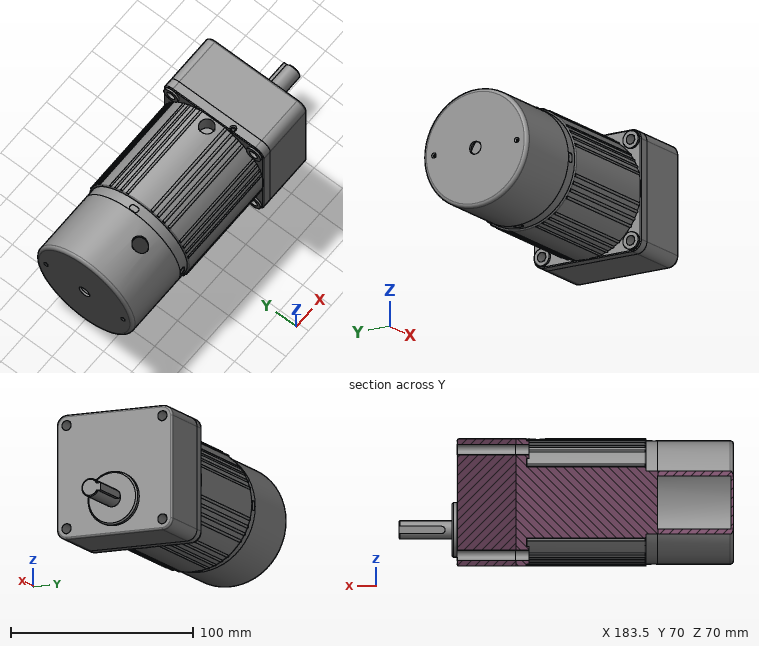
import cadquery as cq

cover_end = 41.7
barrel_start = 47.9
flange_start = 113.4
gearhead_start = 119.5
gearhead_end = 151.5
pilot_end = 154.5
shaft_end = 183.5

cover_radius = 34.0
cover_wall = 1.5
cover_rim_fillet = 2.0
center_hole_diameter = 7.3
screw_hole_diameter = 1.5
screw_hole_countersink = 3.0
screw_hole_offset = 27.0
cable_hole_diameter = 9.2
cable_hole_x = 30.0
cable_hole_y = -15.2

frame_size = 70.0
corner_radius = 6.0
mount_hole_diameter = 5.5
mount_hole_spacing = 58.0

barrel_radius = frame_size / 2
barrel_edge_fillet = 0.5
rib_radius = 1.0
rib_height = 0.45
rib_pitch_angle = 7.2
first_rib_step = 2
last_rib_step = 5
recess_x = 43.7
recess_length = 3.5
recess_width = 5.3
recess_corner_radius = 1.3
recess_depth = 0.2
lead_hole_diameter = 9.2
lead_hole_x = 107.5
lead_hole_depth = 11.0
mount_pad_diameter = 10.0
mount_pad_height = 1.3
flange_edge_chamfer = 0.5
ground_hole_x = 115.6
ground_hole_y = -12.1
ground_hole_diameter = 2.4
ground_hole_countersink = 3.9
ground_hole_depth = 2.8

gearhead_edge_fillet = 1.1
shaft_z = -15.0
pilot_diameter = 30.1
pilot_edge_chamfer = 1.0
shaft_diameter = 10.1
shaft_end_chamfer = 0.5
key_width = 4.0
key_length = 25.3
key_protrusion = 1.5

QUARTER_TURN = 90


def cylinder_x(start, end, radius, z=0):
    """Cylinder parallel to X between two stations."""
    return cq.Workplane("YZ", origin=(start, 0, z)).circle(radius).extrude(end - start)


def frame_block(start, end):
    """Square block with rounded corners along X."""
    block = cq.Workplane("YZ", origin=(start, 0, 0)).rect(frame_size, frame_size).extrude(end - start)
    return block.edges("|X").fillet(corner_radius)


def at_mount_corners(start):
    """Workplane at a station with the four mounting hole centers selected."""
    plane = cq.Workplane("YZ", origin=(start, 0, 0))
    return plane.rect(mount_hole_spacing, mount_hole_spacing, forConstruction=True).vertices()


def mount_holes(start, end):
    """Cutters for the four mounting holes between two stations."""
    return at_mount_corners(start).circle(mount_hole_diameter / 2).extrude(end - start)


def countersunk_hole(diameter, countersink_diameter, depth):
    """Cutter for a hole going down from the origin, with a 90 degree countersink at its mouth."""
    countersink_depth = (countersink_diameter - diameter) / 2
    return (
        cq.Workplane("XZ")
        .lineTo(countersink_diameter / 2, 0)
        .lineTo(diameter / 2, -countersink_depth)
        .lineTo(diameter / 2, -depth)
        .lineTo(0, -depth)
        .close()
        .revolve(360, (0, 0, 0), (0, 1, 0))
    )


def make_cover():
    """Thin cup that is open toward the motor."""
    cup = cylinder_x(0, cover_end, cover_radius).faces("<X").edges().fillet(cover_rim_fillet)
    cup = cup.cut(cylinder_x(cover_wall, cover_end, cover_radius - cover_wall))
    cup = cup.cut(cylinder_x(0, cover_wall, center_hole_diameter / 2))

    cable_hole = (
        cq.Workplane("XY", origin=(cable_hole_x, cable_hole_y, 0))
        .circle(cable_hole_diameter / 2)
        .extrude(cover_radius)
    )
    cup = cup.cut(cable_hole)

    screw_hole = countersunk_hole(screw_hole_diameter, screw_hole_countersink, cover_wall)
    screw_hole = screw_hole.rotate((0, 0, 0), (0, 1, 0), -QUARTER_TURN)
    for y in (-screw_hole_offset, screw_hole_offset):
        cup = cup.cut(screw_hole.translate((0, y, 0)))
    return cup


def add_ribs(barrel):
    """Groups of lengthwise round-topped ribs on both sides of the +Y, -Y, +Z and -Z directions."""
    rib_start = barrel_start + barrel_edge_fillet
    rib_center_z = barrel_radius + rib_height - rib_radius
    rib = cylinder_x(rib_start, flange_start, rib_radius, rib_center_z)
    for quadrant in range(4):
        for step in range(first_rib_step, last_rib_step + 1):
            for side in (-1, 1):
                angle = quadrant * QUARTER_TURN + side * step * rib_pitch_angle
                barrel = barrel.union(rib.rotate((0, 0, 0), (1, 0, 0), angle))
    return barrel


def cut_shoulder_recesses(shoulder):
    """Four shallow rounded recesses that follow the shoulder surface."""
    skin = cylinder_x(cover_end, barrel_start, cover_radius).cut(
        cylinder_x(cover_end, barrel_start, cover_radius - recess_depth)
    )
    pad = (
        cq.Workplane("XY", origin=(recess_x, 0, 0))
        .rect(recess_length, recess_width)
        .extrude(cover_radius)
        .edges("|Z")
        .fillet(recess_corner_radius)
    )
    recess = pad.intersect(skin)
    for quadrant in range(4):
        shoulder = shoulder.cut(recess.rotate((0, 0, 0), (1, 0, 0), quadrant * QUARTER_TURN))
    return shoulder


def make_flange():
    """Square flange with raised pads around its mounting holes and a ground screw hole on top."""
    flange = frame_block(flange_start, gearhead_start)
    flange = flange.faces("<X").edges().chamfer(flange_edge_chamfer)
    pads = at_mount_corners(flange_start - mount_pad_height).circle(mount_pad_diameter / 2)
    flange = flange.union(pads.extrude(mount_pad_height))

    ground_hole = countersunk_hole(ground_hole_diameter, ground_hole_countersink, ground_hole_depth)
    ground_hole = ground_hole.translate((ground_hole_x, ground_hole_y, frame_size / 2))
    return flange.cut(ground_hole)


def make_motor():
    """Motor with a recessed shoulder, a ribbed barrel and a mounting flange."""
    shoulder = cut_shoulder_recesses(cylinder_x(cover_end, barrel_start, cover_radius))

    barrel = cylinder_x(barrel_start, flange_start, barrel_radius)
    barrel = add_ribs(barrel.faces("<X").edges().fillet(barrel_edge_fillet))
    lead_hole = (
        cq.Workplane("XY", origin=(lead_hole_x, 0, barrel_radius))
        .circle(lead_hole_diameter / 2)
        .extrude(-lead_hole_depth)
    )
    barrel = barrel.cut(lead_hole)

    motor = barrel.union(shoulder).union(make_flange())
    return motor.cut(mount_holes(flange_start - mount_pad_height, gearhead_start))


def make_key():
    """Key on the +Y side of the shaft, rounded at its inner end and flush with the shaft end."""
    round_center_x = shaft_end - key_length + key_width / 2
    half_width = key_width / 2
    outline = (
        cq.Workplane("XZ", origin=(0, 0, shaft_z))
        .moveTo(shaft_end, -half_width)
        .lineTo(round_center_x, -half_width)
        .threePointArc((round_center_x - half_width, 0), (round_center_x, half_width))
        .lineTo(shaft_end, half_width)
        .close()
    )
    return outline.extrude(-(shaft_diameter / 2 + key_protrusion))


def make_gearhead():
    """Gear case with its pilot boss, output shaft and key."""
    case = frame_block(gearhead_start, gearhead_end).faces(">X").edges().fillet(gearhead_edge_fillet)
    pilot = cylinder_x(gearhead_end, pilot_end, pilot_diameter / 2, shaft_z)
    pilot = pilot.faces(">X").edges().chamfer(pilot_edge_chamfer)
    shaft = cylinder_x(gearhead_end, shaft_end, shaft_diameter / 2, shaft_z)
    shaft = shaft.faces(">X").edges().chamfer(shaft_end_chamfer)
    gearhead = case.union(pilot).union(shaft).union(make_key())
    return gearhead.cut(mount_holes(gearhead_start, gearhead_end))


cover = make_cover()
motor = make_motor()
gearhead = make_gearhead()

result = cq.Compound.makeCompound([cover.val(), motor.val(), gearhead.val()])